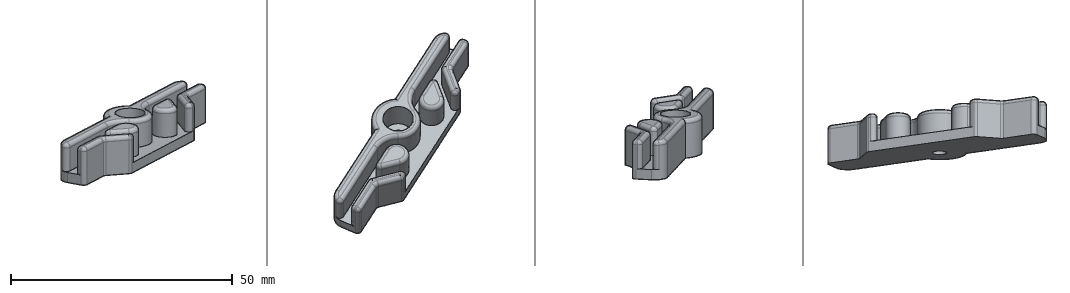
import cadquery as cq
import math

height = 9.0
base_thickness = 2.4
half_length = 26.9
edge_radius = 1.0
top_radius = 0.99

wall_outer_x = -3.4
wall_inner_x = -0.5
base_right_x = 8.6
corner_radius = 3.0

hub_outer_radius = 6.0
hub_inner_radius = 5.0
hub_blend_radius = 5.2
screw_diameter = 3.2
counterbore_diameter = 6.8
counterbore_floor_z = base_thickness

rib_width = 2.35
rib_outer_x = 4.2
rib_bend_y = 18.4

drop_center = cq.Vector(4.05, 8.5)
drop_radius = 2.8

cos45 = math.sqrt(0.5)
rib_inner_x = rib_outer_x - rib_width
rib_outer_sum = rib_outer_x + rib_bend_y
rib_inner_sum = rib_outer_sum - rib_width / cos45
rib_outer_bend = (rib_outer_x, rib_bend_y)
rib_inner_bend = (rib_inner_x, rib_inner_sum - rib_inner_x)
rib_outer_tip = (base_right_x, rib_outer_sum - base_right_x)
rib_inner_tip = (base_right_x, rib_inner_sum - base_right_x)
rib_outer_end = (rib_outer_x, half_length)
rib_inner_end = (rib_inner_x, half_length)


def point_on_circle(center, radius, degrees):
    """XY point at an angle on a circle."""
    angle = math.radians(degrees)
    return (center.x + radius * math.cos(angle), center.y + radius * math.sin(angle))


def round_uprights(body, corners, radius):
    """Fillet the vertical edges of a prism that stand on the given XY corners."""
    mid_z = body.val().Center().z
    for x, y in corners:
        nearest = cq.selectors.NearestToPointSelector((x, y, mid_z))
        body = body.edges("|Z").edges(nearest).fillet(radius)
    return body


def round_top(body):
    return body.faces(">Z").edges().fillet(top_radius)


def with_mirror_image(body):
    return body.union(body.mirror("XZ"))


def make_outline(thickness):
    """Prism over one half of the base plate, without the hub bulge."""
    wall_corner = (wall_outer_x, half_length)
    half = (
        cq.Workplane("XY")
        .polyline([
            (wall_outer_x, 0),
            (base_right_x, 0),
            rib_outer_tip,
            rib_outer_bend,
            rib_outer_end,
            wall_corner,
        ])
        .close()
        .extrude(thickness)
    )
    half = round_uprights(half, [wall_corner], corner_radius)
    return round_uprights(half, [rib_outer_tip, rib_outer_bend, rib_outer_end], edge_radius)


def make_wall():
    """Full-height wall that swells into the hub, with rounded ends and top edges."""
    junction_y = math.sqrt(hub_outer_radius**2 - wall_outer_x**2)

    blend_x = wall_inner_x + hub_blend_radius
    center_distance = hub_inner_radius + hub_blend_radius
    blend_y = math.sqrt(center_distance**2 - blend_x**2)
    blend_center = cq.Vector(blend_x, blend_y)
    hub_direction = math.degrees(math.atan2(blend_y, blend_x))
    tangent_x, tangent_y = point_on_circle(cq.Vector(0, 0), hub_inner_radius, hub_direction)
    middle_x, middle_y = point_on_circle(blend_center, hub_blend_radius, 180 + hub_direction / 2)

    corner_x = wall_outer_x + corner_radius
    corner_y = half_length - corner_radius
    end_x = wall_inner_x - edge_radius
    end_y = corner_y + math.sqrt((corner_radius - edge_radius)**2 - (corner_x - end_x)**2)
    corner_center = cq.Vector(corner_x, corner_y)
    end_center = cq.Vector(end_x, end_y)
    end_direction = math.degrees(math.atan2(end_y - corner_y, end_x - corner_x))
    corner_mid = point_on_circle(corner_center, corner_radius, (180 + end_direction) / 2)
    corner_end = point_on_circle(corner_center, corner_radius, end_direction)
    end_mid = point_on_circle(end_center, edge_radius, end_direction / 2)

    def flipped(point):
        return (point[0], -point[1])

    wall = (
        cq.Workplane("XY")
        .moveTo(wall_outer_x, junction_y)
        .lineTo(wall_outer_x, corner_y)
        .threePointArc(corner_mid, corner_end)
        .threePointArc(end_mid, (wall_inner_x, end_y))
        .lineTo(wall_inner_x, blend_y)
        .threePointArc((middle_x, middle_y), (tangent_x, tangent_y))
        .threePointArc((hub_inner_radius, 0), (tangent_x, -tangent_y))
        .threePointArc((middle_x, -middle_y), (wall_inner_x, -blend_y))
        .lineTo(wall_inner_x, -end_y)
        .threePointArc(flipped(end_mid), flipped(corner_end))
        .threePointArc(flipped(corner_mid), (wall_outer_x, -corner_y))
        .lineTo(wall_outer_x, -junction_y)
        .threePointArc((-hub_outer_radius, 0), (wall_outer_x, junction_y))
        .close()
        .extrude(height)
    )
    return round_top(wall)


def make_rib():
    """Bent rib along the edge of the base plate, with all corners rounded."""
    corners = [
        rib_outer_tip,
        rib_outer_bend,
        rib_outer_end,
        rib_inner_end,
        rib_inner_bend,
        rib_inner_tip,
    ]
    rib = cq.Workplane("XY").polyline(corners).close().extrude(height)
    rib = round_uprights(rib, corners, edge_radius)
    return round_top(rib)


def make_drop():
    """Teardrop post: a round with its point between the inner side and a 45 degree side."""
    side_x = drop_center.x - drop_radius
    slant_sum = drop_center.x + drop_center.y + drop_radius / cos45
    tip_x = side_x + edge_radius
    tip_center = cq.Vector(tip_x, slant_sum - edge_radius / cos45 - tip_x)
    slant_angle = 45
    tip_mid_angle = (slant_angle + 180) / 2
    drop = (
        cq.Workplane("XY")
        .moveTo(*point_on_circle(drop_center, drop_radius, slant_angle))
        .lineTo(*point_on_circle(tip_center, edge_radius, slant_angle))
        .threePointArc(
            point_on_circle(tip_center, edge_radius, tip_mid_angle),
            point_on_circle(tip_center, edge_radius, 180),
        )
        .lineTo(side_x, drop_center.y)
        .threePointArc(
            point_on_circle(drop_center, drop_radius, tip_mid_angle + 180),
            point_on_circle(drop_center, drop_radius, slant_angle),
        )
        .close()
        .extrude(height)
    )
    return round_top(drop)


def make_screw_hole():
    through = cq.Workplane("XY").circle(screw_diameter / 2).extrude(height)
    counterbore = (
        cq.Workplane("XY", origin=(0, 0, counterbore_floor_z))
        .circle(counterbore_diameter / 2)
        .extrude(height - counterbore_floor_z)
    )
    return through.union(counterbore)


result = (
    with_mirror_image(make_outline(base_thickness))
    .union(make_wall())
    .union(with_mirror_image(make_rib()))
    .union(with_mirror_image(make_drop()))
    .cut(make_screw_hole())
)